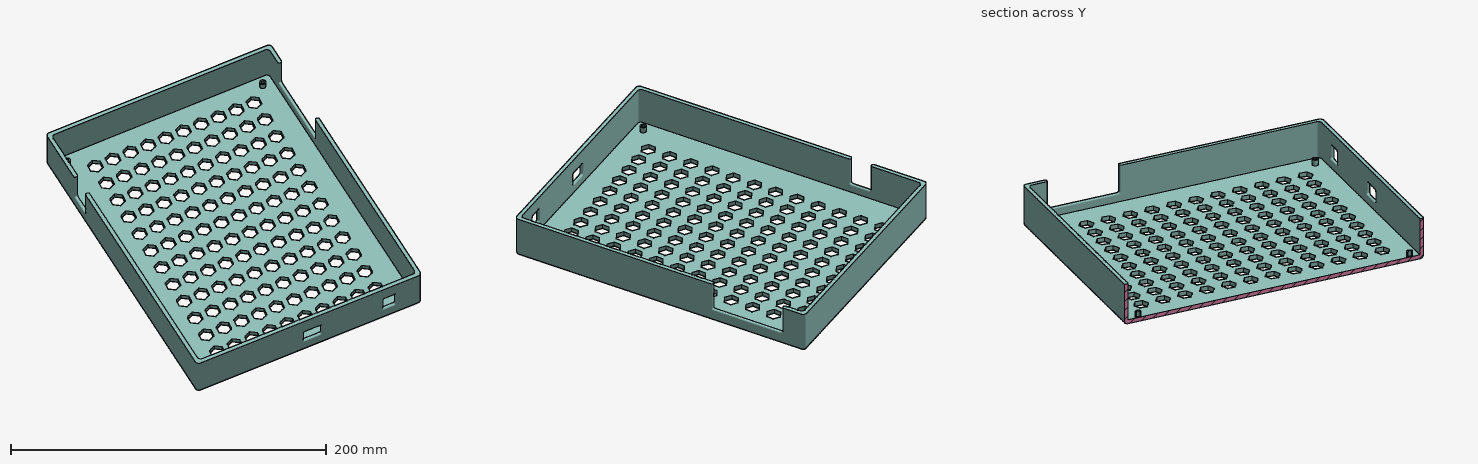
import cadquery as cq

length = 210.0
width = 159.95
height = 29.02
wall = 2.75
floor = 3.2
outer_radius = 2.5
inner_radius = 2.5

vent_columns = 12
vent_rows = 10
vent_pitch_x = 15.37
vent_pitch_y = 12.54
vent_center_x = -1.4
vent_center_y = 2.1
vent_across_corners = 10.0
vent_turn = -5.0

cutout_corner_radius = 1.0
rim_radius = 1.1
cutout_bottom = 9.0
front_notch_x = -57.8
front_notch_width = 14.7
rear_notch_x = -63.4
rear_notch_width = 50.5
switch_window_y = 57.1
switch_window_width = 9.0
switch_window_height = 10.2
plug_window_y = 2.4
plug_window_width = 12.7
plug_window_height = 9.0

post_spacing_x = 190.4
post_spacing_y = 139.0
post_diameter = 4.0
post_bore = 2.0
post_height = 4.0


def block(size_x, size_y, size_z):
    """Box centred in X and Y that stands on Z = 0."""
    return cq.Workplane("XY").box(size_x, size_y, size_z, centered=(True, True, False))


def make_shell():
    outside = block(length, width, height).edges("|Z or <Z").fillet(outer_radius)
    inside = block(length - 2 * wall, width - 2 * wall, height - floor).edges("|Z").fillet(inner_radius)
    return outside.cut(inside.translate((0, 0, floor)))


def cut_opening(body, center, size):
    """Cut a box-shaped opening through a wall and round its corners and both of its rims.

    An opening that reaches the top of the case is a notch and keeps its sharp top end.
    """
    x, y, bottom = center
    size_x, size_y, size_z = size
    opening = block(size_x, size_y, size_z)
    through_axis = "Y" if size_y == wall else "X"
    is_notch = bottom + size_z >= height
    corners = opening.faces("<Z") if is_notch else opening
    opening = corners.edges("|" + through_axis).fillet(cutout_corner_radius).translate((x, y, bottom))
    body = body.cut(opening)

    slack = 0.1
    rim_box = cq.selectors.BoxSelector(
        (x - size_x / 2 - slack, y - size_y / 2 - slack, bottom - slack),
        (x + size_x / 2 + slack, y + size_y / 2 + slack, height - slack),
    )
    return body.edges(rim_box).edges("not |" + through_axis).fillet(rim_radius)


def cut_notch(body, x, y, notch_width):
    return cut_opening(body, (x, y, cutout_bottom), (notch_width, wall, height - cutout_bottom))


def cut_window(body, y, window_width, window_height):
    x = (length - wall) / 2
    return cut_opening(body, (x, y, cutout_bottom), (wall, window_width, window_height))


def make_vents():
    vent = cq.Workplane("XY").polygon(6, vent_across_corners).extrude(floor)
    vent = vent.rotate((0, 0, 0), (0, 0, 1), vent_turn).val()
    return (
        cq.Workplane("XY").center(vent_center_x, vent_center_y)
        .rarray(vent_pitch_x, vent_pitch_y, vent_columns, vent_rows)
        .eachpoint(vent)
    )


def make_case():
    wall_center_y = (width - wall) / 2
    body = make_shell()
    body = cut_notch(body, front_notch_x, -wall_center_y, front_notch_width)
    body = cut_notch(body, rear_notch_x, wall_center_y, rear_notch_width)
    body = cut_window(body, switch_window_y, switch_window_width, switch_window_height)
    body = cut_window(body, plug_window_y, plug_window_width, plug_window_height)
    return body.cut(make_vents())


def make_post(x, y):
    post = cq.Workplane("XY").center(x, y).circle(post_diameter / 2).circle(post_bore / 2)
    return post.extrude(post_height).translate((0, 0, floor))


case = make_case()
posts = [
    make_post(side_x * post_spacing_x / 2, side_y * post_spacing_y / 2)
    for side_x in (-1, 1)
    for side_y in (-1, 1)
]

result = cq.Compound.makeCompound([case.val(), *[post.val() for post in posts]])